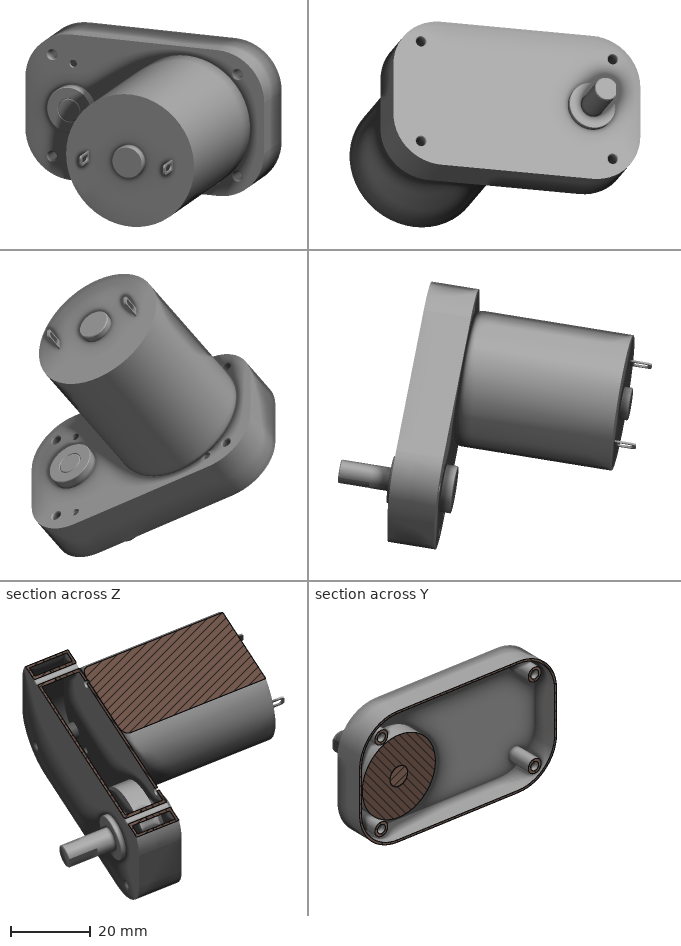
import cadquery as cq


box_width = 64.4
box_height = 38.0
box_corner_radius = 12.45
front_half_depth = 5.05
rear_half_depth = 7.0
box_depth = front_half_depth + rear_half_depth
wall = 0.8

mount_spacing_x = 50.0
mount_spacing_z = 26.5
mount_hole_diameter = 2.45
mount_hole_chamfer = 0.2
mount_post_diameter = 4.3

shaft_x = -19.3
shaft_diameter = 6.0
shaft_projection = 12.95
shaft_chamfer = 0.2
flat_depth = 0.5
flat_length = 8.0
bushing_diameter = 12.0
front_bushing_projection = 1.5
rear_bushing_projection = 2.7
bushing_chamfer = 0.15

gear_diameter = 24.0
gear_thickness = 5.05
gear_rear_y = (box_depth - gear_thickness) / 2
gear_front_y = gear_rear_y + gear_thickness

screw_hole_diameter = 2.0
screw_hole_top_z = 11.45
screw_hole_bottom_z = -15.0

axis_distance = 31.0
motor_x = shaft_x + axis_distance
motor_diameter = 34.5
motor_length = 40.0
motor_fillet = 1.9
boss_diameter = 8.3
boss_length = 2.0
boss_chamfer = 0.2

terminal_spacing = 22.5
terminal_thickness = 0.5
terminal_height = 2.6
terminal_length = 5.5
terminal_corner_radius = 0.8
eye_start = 0.7
eye_length = 4.0
eye_height = 1.7


def cylinder(x, z, diameter, rear_y, front_y):
    """Cylinder along Y, from rear_y forward to front_y."""
    plane = cq.Plane(origin=(x, rear_y, z), xDir=(-1, 0, 0), normal=(0, 1, 0))
    return cq.Workplane(plane).circle(diameter / 2).extrude(front_y - rear_y)


def mount_hole_points():
    return [
        (side * mount_spacing_x / 2, level * mount_spacing_z / 2)
        for side in (-1, 1)
        for level in (-1, 1)
    ]


def screw_hole_points():
    return [(x, z) for x in (shaft_x, -shaft_x) for z in (screw_hole_top_z, screw_hole_bottom_z)]


def countersink(x, z, end_y, inward):
    """Cone that chamfers a mounting hole at end_y and narrows along the inward direction."""
    radius = mount_hole_diameter / 2
    return cq.Workplane(
        cq.Solid.makeCone(
            radius + mount_hole_chamfer,
            radius,
            mount_hole_chamfer,
            pnt=cq.Vector(x, end_y, z),
            dir=cq.Vector(0, inward, 0),
        )
    )


def rounded_block(width, height, corner_radius, rear_y, front_y):
    """Plate with rounded corners, from rear_y forward to front_y."""
    plane = cq.Workplane("XZ", origin=(0, rear_y, 0))
    return plane.rect(width, height).extrude(rear_y - front_y).edges("|Y").fillet(corner_radius)


def make_housing():
    """Whole hollow gearbox, with mounting posts and all holes, before it is split into halves.

    The mounting posts are thin enough to clear the gear.
    """
    housing = rounded_block(box_width, box_height, box_corner_radius, 0, box_depth)
    cavity = rounded_block(
        box_width - 2 * wall,
        box_height - 2 * wall,
        box_corner_radius - wall,
        wall,
        box_depth - wall,
    )
    for x, z in mount_hole_points():
        cavity = cavity.cut(cylinder(x, z, mount_post_diameter, 0, box_depth))
    housing = housing.cut(cavity)

    for x, z in mount_hole_points():
        hole = cylinder(x, z, mount_hole_diameter, 0, box_depth)
        for end_y, inward in ((0, 1), (box_depth, -1)):
            hole = hole.union(countersink(x, z, end_y, inward))
        housing = housing.cut(hole)
    for x, z in screw_hole_points():
        housing = housing.cut(cylinder(x, z, screw_hole_diameter, 0, wall))
    return housing.cut(cylinder(shaft_x, 0, bushing_diameter, 0, box_depth))


def make_bushing(rear_y, front_y, outer_face):
    """Sleeve around the shaft, reaching from outside the gearbox to the gear."""
    bushing = cylinder(shaft_x, 0, bushing_diameter, rear_y, front_y)
    bushing = bushing.cut(cylinder(shaft_x, 0, shaft_diameter, rear_y, front_y))
    return bushing.faces(outer_face).edges().chamfer(bushing_chamfer)


def make_shaft():
    rear_y = -rear_bushing_projection
    front_y = box_depth + front_bushing_projection + shaft_projection
    shaft = cylinder(shaft_x, 0, shaft_diameter, rear_y, front_y).faces("<Y or >Y").chamfer(shaft_chamfer)
    flat = cq.Workplane(origin=(shaft_x - shaft_diameter / 2, front_y - flat_length, 0))
    return shaft.cut(flat.box(flat_depth, flat_length, shaft_diameter, centered=(False, False, True)))


def make_gear():
    gear = cylinder(shaft_x, 0, gear_diameter, gear_rear_y, gear_front_y)
    return gear.cut(cylinder(shaft_x, 0, shaft_diameter, gear_rear_y, gear_front_y))


def make_motor():
    return cylinder(motor_x, 0, motor_diameter, -motor_length, 0).faces(">Y").edges().fillet(motor_fillet)


def make_rear_boss():
    boss = cylinder(motor_x, 0, boss_diameter, -motor_length - boss_length, -motor_length)
    return boss.faces("<Y").edges().chamfer(boss_chamfer)


def make_terminal(x):
    """Flat tab with rounded tip corners and an eye for the wire."""
    tip_y = -motor_length - terminal_length
    tab = cq.Workplane(origin=(x, tip_y, 0))
    tab = tab.box(terminal_thickness, terminal_length, terminal_height, centered=(True, False, True))
    tab = tab.edges("|X and <Y").fillet(terminal_corner_radius)
    eye_y = -motor_length - eye_start - eye_length / 2
    eye = cq.Workplane("YZ", origin=(x, eye_y, 0)).slot2D(eye_length, eye_height)
    return tab.cut(eye.extrude(terminal_thickness, both=True))


housing = make_housing()
rear_half = housing.intersect(rounded_block(box_width, box_height, box_corner_radius, 0, rear_half_depth))
front_half = housing.cut(rear_half)
front_bushing = make_bushing(gear_front_y, box_depth + front_bushing_projection, ">Y")
rear_bushing = make_bushing(-rear_bushing_projection, gear_rear_y, "<Y")
shaft = make_shaft()
gear = make_gear()
motor = make_motor()
rear_boss = make_rear_boss()
terminals = [make_terminal(motor_x + side * terminal_spacing / 2) for side in (-1, 1)]

result = cq.Compound.makeCompound(
    [
        front_half.val(),
        rear_half.val(),
        front_bushing.val(),
        rear_bushing.val(),
        shaft.val(),
        gear.val(),
        motor.val(),
        rear_boss.val(),
        *[terminal.val() for terminal in terminals],
    ]
)